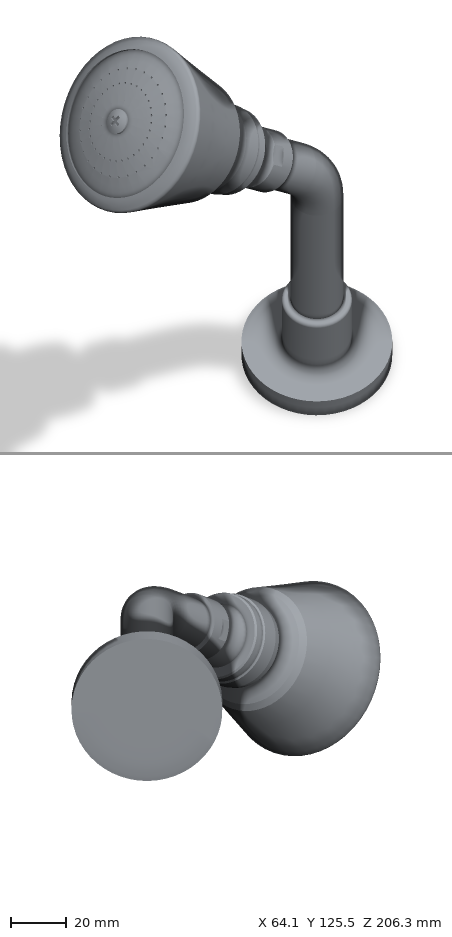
import cadquery as cq
import math

tilt = 45.0
bend_start = 95.5
bend_radius = 29.7
bend_end_y = -bend_radius * (1 - math.cos(math.radians(tilt)))
bend_end_z = bend_start + bend_radius * math.sin(math.radians(tilt))

flange_radius = 27.0
flange_height = 8.3
sleeve_radius = 12.5
sleeve_top = 34.0
sleeve_top_fillet = 1.2
sleeve_base_fillet = 2.0

arm_radius = 9.5

nut_start = 15.5
nut_length = 12.2
nut_radius = 11.4
nut_chamfer = 2.3
nut_flat_offset = 10.7
nut_flat_length = 7.0
nut_flat_angle = 50.0
neck_radius = 7.2
neck_ring_radius = 8.3
neck_ring_height = 1.0
ball_radius = 12.8
ball_center = 41.5

collar_start = 36.3
collar_step = 40.9
collar_shoulder = 48.5
collar_end = 51.8
collar_lower_radius = 15.9
collar_radius = 16.5
collar_end_radius = 15.9
collar_chamfer = 0.6

shell_neck_radius = 14.5
shell_neck_end = 54.5
shell_back_radius = 20.6
shell_back = 57.8
shell_hip_radius = 22.7
shell_hip = 59.9
shell_radius = 32.0
shell_rim = 94.0
shell_lip_radius = 31.4
shell_lip = 95.5
shell_front = 97.2

plate_radius = 27.0
plate_recess = 1.0
plate_thickness = 3.0
plate_dome_height = 5.2
spray_hole_depth = 2.0
outer_ring_radius = 19.8
outer_ring_count = 30
middle_ring_radius = 14.2
middle_ring_count = 32
inner_ring_radius = 8.0
inner_ring_count = 16
spray_hole_diameter = 0.8
fine_hole_diameter = 0.1

screw_radius = 4.5
screw_height = 1.9
screw_edge_height = 0.6
recess_length = 4.5
recess_width = 1.2
recess_depth = 1.0

plate_edge = shell_front - plate_recess
plate_back = plate_edge - plate_thickness
plate_top = plate_edge + plate_dome_height
tilted_plane = cq.Plane(
    origin=(0, bend_end_y, bend_end_z),
    xDir=(1, 0, 0),
    normal=(0, -math.sin(math.radians(tilt)), math.cos(math.radians(tilt))),
)


def place_on_tilted_axis(body):
    """Move a body built along +Z from the origin onto the tilted axis."""
    return cq.Workplane(body.val().moved(cq.Location(tilted_plane)))


def revolve_about_z(profile):
    """Revolve a closed XZ profile about the Z axis."""
    return profile.close().revolve(360, (0, 0, 0), (0, 1, 0))


def disc(radius, start, end):
    return cq.Workplane("XY").workplane(offset=start).circle(radius).extrude(end - start)


def dome_radius(rim_radius, rise):
    """Radius of the sphere that rises by `rise` above a circle of rim_radius."""
    return (rim_radius**2 + rise**2) / (2 * rise)


def ball():
    return cq.Workplane("XY").sphere(ball_radius).translate((0, 0, ball_center))


def make_flange():
    """Round plate and sleeve with filleted corners, bored through for the arm."""
    profile = (
        cq.Workplane("XZ")
        .moveTo(arm_radius, 0)
        .lineTo(flange_radius, 0)
        .lineTo(flange_radius, flange_height)
        .lineTo(sleeve_radius + sleeve_base_fillet, flange_height)
        .tangentArcPoint((sleeve_radius, flange_height + sleeve_base_fillet), relative=False)
        .lineTo(sleeve_radius, sleeve_top - sleeve_top_fillet)
        .tangentArcPoint((sleeve_radius - sleeve_top_fillet, sleeve_top), relative=False)
        .lineTo(arm_radius, sleeve_top)
    )
    return revolve_about_z(profile)


def make_arm():
    """Round bar that rises, bends forward and ends at the nut of the ball joint."""
    half_sine = math.sin(math.radians(tilt / 2))
    half_cosine = math.cos(math.radians(tilt / 2))
    end_y = bend_end_y - nut_start * math.sin(math.radians(tilt))
    end_z = bend_end_z + nut_start * math.cos(math.radians(tilt))
    path = (
        cq.Workplane("YZ")
        .lineTo(0, bend_start)
        .threePointArc(
            (-bend_radius * (1 - half_cosine), bend_start + bend_radius * half_sine),
            (bend_end_y, bend_end_z),
        )
        .lineTo(end_y, end_z)
    )
    return cq.Workplane("XY").circle(arm_radius).sweep(path)


def make_ball_joint():
    """Round nut with two opposite flats, carrying a neck and a ball."""
    nut_end = nut_start + nut_length
    nut = disc(nut_radius, nut_start, nut_end).faces(">Z").chamfer(nut_chamfer)
    for angle in (nut_flat_angle, nut_flat_angle + 180):
        flat = (
            cq.Workplane("XY")
            .box(nut_radius, 2 * nut_radius, nut_flat_length, centered=(False, True, False))
            .translate((nut_flat_offset, 0, nut_end - nut_flat_length))
            .rotate((0, 0, 0), (0, 0, 1), angle)
        )
        nut = nut.cut(flat)
    neck_ring = disc(neck_ring_radius, nut_start, nut_end + neck_ring_height)
    neck = disc(neck_radius, nut_start, ball_center)
    return place_on_tilted_axis(nut.union(neck_ring).union(neck).union(ball()))


def make_collar():
    """Stepped ring that holds the ball in a spherical socket."""
    profile = (
        cq.Workplane("XZ")
        .moveTo(0, collar_start)
        .lineTo(collar_lower_radius - collar_chamfer, collar_start)
        .lineTo(collar_lower_radius, collar_start + collar_chamfer)
        .lineTo(collar_lower_radius, collar_step)
        .lineTo(collar_radius, collar_step + collar_radius - collar_lower_radius)
        .lineTo(collar_radius, collar_shoulder)
        .lineTo(collar_end_radius, collar_end)
        .lineTo(0, collar_end)
    )
    return place_on_tilted_axis(revolve_about_z(profile).cut(ball()))


def make_head_shell():
    """Flared shell with a socket for the ball behind and a seat for the spray plate in front."""
    profile = (
        cq.Workplane("XZ")
        .moveTo(0, collar_end)
        .lineTo(shell_neck_radius, collar_end)
        .lineTo(shell_neck_radius, shell_neck_end)
        .lineTo(shell_back_radius, shell_back)
        .lineTo(shell_hip_radius, shell_hip)
        .lineTo(shell_radius, shell_rim)
        .tangentArcPoint((shell_lip_radius, shell_lip), relative=False)
        .tangentArcPoint((plate_radius, shell_front), relative=False)
        .lineTo(0, shell_front)
    )
    plate_seat = disc(plate_radius, plate_back, shell_front)
    return place_on_tilted_axis(revolve_about_z(profile).cut(ball()).cut(plate_seat))


def make_spray_plate():
    """Domed plate with three rings of spray holes and a hole for the screw."""
    radius = dome_radius(plate_radius, plate_dome_height)
    dome_center = plate_top - radius
    dome = cq.Workplane("XY").sphere(radius).translate((0, 0, dome_center))
    plate = disc(plate_radius, plate_back, plate_top).intersect(dome)
    rings = [
        (outer_ring_radius, outer_ring_count, spray_hole_diameter, 90),
        (middle_ring_radius, middle_ring_count, spray_hole_diameter, 90),
        (inner_ring_radius, inner_ring_count, fine_hole_diameter, 90 + 180 / inner_ring_count),
    ]
    for ring_radius, count, hole_diameter, first_angle in rings:
        surface = dome_center + math.sqrt(radius**2 - ring_radius**2)
        holes = (
            cq.Workplane("XY")
            .workplane(offset=surface - spray_hole_depth)
            .polarArray(ring_radius, first_angle, 360, count)
            .circle(hole_diameter / 2)
            .extrude(2 * spray_hole_depth)
        )
        plate = plate.cut(holes)
    return place_on_tilted_axis(plate.cut(disc(screw_radius, plate_back, plate_top)))


def make_screw():
    """Domed round screw head with a cross recess."""
    screw_top = plate_top + screw_height
    radius = dome_radius(screw_radius, screw_height - screw_edge_height)
    dome = cq.Workplane("XY").sphere(radius).translate((0, 0, screw_top - radius))
    screw = disc(screw_radius, plate_back, screw_top).intersect(dome)
    for length, width in ((recess_length, recess_width), (recess_width, recess_length)):
        slot = cq.Workplane("XY").box(length, width, 2 * recess_depth)
        screw = screw.cut(slot.translate((0, 0, screw_top)))
    return place_on_tilted_axis(screw)


flange = make_flange()
arm = make_arm()
ball_joint = make_ball_joint()
collar = make_collar()
head_shell = make_head_shell()
spray_plate = make_spray_plate()
screw = make_screw()

result = cq.Compound.makeCompound(
    [
        flange.val(),
        arm.val(),
        ball_joint.val(),
        collar.val(),
        head_shell.val(),
        spray_plate.val(),
        screw.val(),
    ]
)